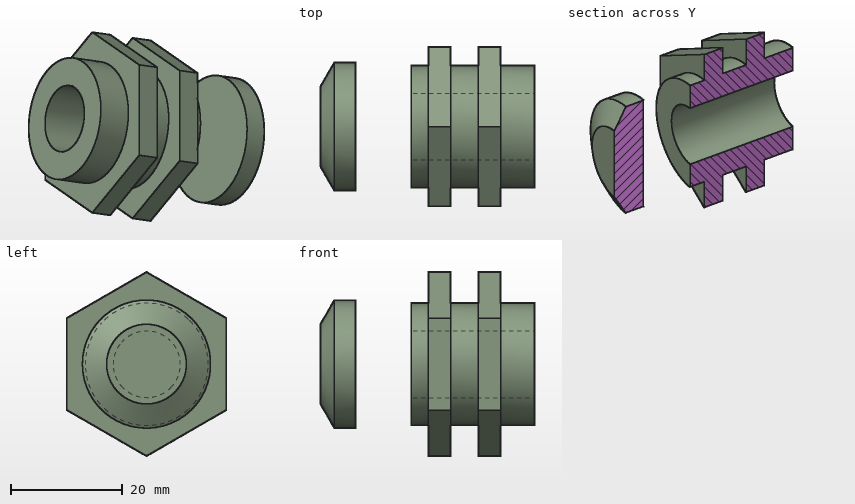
import cadquery as cq
import math

total_length = 38.45

cap_diameter = 23.0
cap_front_diameter = 14.3
cap_cone_length = 2.5
cap_length = 6.35

barrel_start = 16.3
barrel_diameter = 22.0
bore_diameter = 12.0
flange_across_flats = 28.6
flange_thickness = 4.0
first_flange_start = 19.38
flange_pitch = 8.95
flange_count = 2


def make_cap():
    """Revolve the cap's half profile about the X axis."""
    return (
        cq.Workplane("XY")
        .moveTo(0, 0)
        .lineTo(0, cap_front_diameter / 2)
        .lineTo(cap_cone_length, cap_diameter / 2)
        .lineTo(cap_length, cap_diameter / 2)
        .lineTo(cap_length, 0)
        .close()
        .revolve(360, (0, 0, 0), (1, 0, 0))
    )


def make_flange(start):
    """Hexagonal flange with corners pointing along +Z and -Z."""
    across_corners = flange_across_flats / math.cos(math.pi / 6)
    return (
        cq.Workplane("YZ", origin=(start, 0, 0))
        .transformed(rotate=(0, 0, 90))
        .polygon(6, across_corners)
        .extrude(flange_thickness)
    )


def make_housing():
    """Barrel and flanges as one solid, with a bore right through."""
    barrel_length = total_length - barrel_start
    barrel_plane = cq.Workplane("YZ", origin=(barrel_start, 0, 0))
    housing = barrel_plane.circle(barrel_diameter / 2).extrude(barrel_length)
    for index in range(flange_count):
        housing = housing.union(make_flange(first_flange_start + index * flange_pitch))
    bore = barrel_plane.circle(bore_diameter / 2).extrude(barrel_length)
    return housing.cut(bore)


cap = make_cap()
housing = make_housing()

result = cq.Compound.makeCompound([cap.val(), housing.val()])